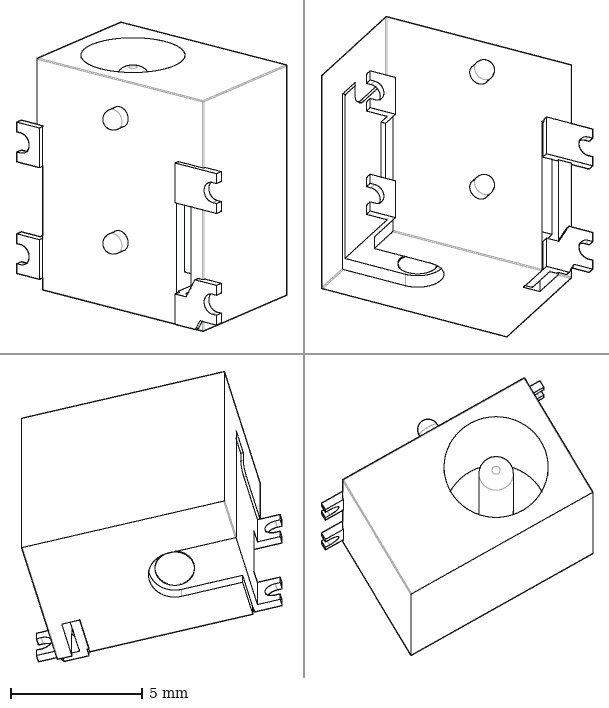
import cadquery as cq


body_width = 8.01
body_depth = 5.2
body_height = 9.3
half_width = body_width / 2
edge_radius = 0.04

socket_offset_from_left = 2.7
socket_x = socket_offset_from_left - half_width
socket_y = 2.51
socket_radius = 1.98
socket_floor_z = 2.0
pin_radius = 0.65
pin_tip_round = 0.5
pin_tip_depth = 0.48
pin_tip_z = body_height - pin_tip_depth

peg_radius = 0.4
peg_length = 0.8
peg_heights = (2.8, 7.8)

tab_reach = 0.8
tab_height = 1.6
tab_thickness = 0.3
tab_embed = 0.1
tab_outer_x = half_width + tab_reach
lower_tab_z = 0.5
upper_tab_z = 5.0
tab_notch_radius = 0.4
tab_notch_depth = 0.6

recess_depth = 0.3
recess_back_y = 3.5
recess_step_y = socket_y
recess_top_z = 7.64
recess_corner_radius = 0.45
plate_clearance = 0.03
recess_step_z = upper_tab_z + tab_height + plate_clearance
plate_thickness = 0.2
plate_bottom_z = lower_tab_z
plate_notch_depth = 0.6
left_inner_x = -half_width + recess_depth

tail_slot_radius = recess_back_y - socket_y
tail_slot_height = 0.5
tail_radius = 0.75
tail_drop = 0.06

channel_left_x = half_width - 1.29
channel_right_x = half_width - 0.59
channel_depth = 0.5
channel_top_z = 6.51
channel_pocket_depth = 1.5
channel_pocket_top_z = 2.0
right_tab_inner_x = half_width - 1.2
foot_top_z = 1.32
foot_bottom_z = 0.1
foot_top_slope_x = (half_width - 0.67, half_width - 0.24)
foot_bottom_slope_x = (half_width - 0.22, half_width)


def block(x_start, x_end, y_start, y_end, z_start, z_end):
    """Box given by its limits along each axis."""
    size = (x_end - x_start, y_end - y_start, z_end - z_start)
    return cq.Workplane("XY").box(*size, centered=False).translate((x_start, y_start, z_start))


def make_housing():
    """Block with every edge softened except those around the back face."""
    housing = block(-half_width, half_width, 0, body_depth, 0, body_height)
    return housing.edges("not(>Y)").fillet(edge_radius)


def make_plate(x_start, length, z_bottom, clearance):
    """Stepped plate parallel to the YZ plane, reaching the given length along +X from x_start."""
    top_z = recess_top_z - clearance
    step_z = recess_step_z - clearance
    profile = (
        cq.Workplane("YZ", origin=(x_start, 0, 0))
        .moveTo(0, z_bottom)
        .lineTo(recess_back_y, z_bottom)
        .lineTo(recess_back_y, top_z)
        .lineTo(recess_step_y, top_z)
        .lineTo(recess_step_y, step_z + recess_corner_radius)
        .radiusArc((recess_step_y - recess_corner_radius, step_z), recess_corner_radius)
        .lineTo(0, step_z)
        .close()
    )
    return profile.extrude(length)


def make_tail_slot():
    """Slot in the underside, open to the left and rounded around the socket axis."""
    straight = block(
        -half_width, socket_x,
        socket_y - tail_slot_radius, socket_y + tail_slot_radius,
        0, tail_slot_height,
    )
    end = cq.Workplane("XY").center(socket_x, socket_y).circle(tail_slot_radius).extrude(tail_slot_height)
    return straight.union(end)


def make_pin():
    """Centre pin with a rounded tip, widening to a short tail under the socket floor."""
    pin = (
        cq.Workplane("XY", origin=(socket_x, socket_y, tail_slot_height))
        .circle(pin_radius)
        .extrude(pin_tip_z - tail_slot_height)
        .faces(">Z").edges().fillet(pin_tip_round)
    )
    tail = (
        cq.Workplane("XY", origin=(socket_x, socket_y, tail_slot_height - tail_drop))
        .circle(tail_radius)
        .extrude(2 * tail_drop)
    )
    return pin.union(tail)


def make_socket():
    """Blind round hole entered from the top face."""
    socket = cq.Workplane("XY", origin=(socket_x, socket_y, socket_floor_z)).circle(socket_radius)
    return socket.extrude(body_height - socket_floor_z)


def make_channel():
    """Channel along the right of the mounting face, deepened into a pocket at its lower end."""
    channel = block(channel_left_x, channel_right_x, 0, channel_depth, 0, channel_top_z)
    pocket = block(channel_left_x, channel_right_x, 0, channel_pocket_depth, 0, channel_pocket_top_z)
    return channel.union(pocket)


def make_peg(z):
    """Peg pointing along -Y with a hemispherical end."""
    shank_length = peg_length - peg_radius
    shank = cq.Workplane("XZ", origin=(0, 0, z)).circle(peg_radius).extrude(shank_length)
    dome = cq.Workplane("XY").sphere(peg_radius).translate((0, -shank_length, z))
    return shank.union(dome)


def make_tab(x_inner, x_outer, z_bottom):
    """Rectangular solder tab lying on the mounting face."""
    x_start, x_end = sorted((x_inner, x_outer))
    return block(x_start, x_end, tab_embed - tab_thickness, tab_embed, z_bottom, z_bottom + tab_height)


def make_tab_notch(side, z_bottom):
    """Round-bottomed notch cut into a tab's outer end; side is -1 for left, +1 for right."""
    centre_x = side * (tab_outer_x - tab_notch_depth + tab_notch_radius)
    centre_z = z_bottom + tab_height / 2
    x_start, x_end = sorted((centre_x, side * tab_outer_x))
    round_end = (
        cq.Workplane("XZ", origin=(centre_x, tab_embed, centre_z))
        .circle(tab_notch_radius)
        .extrude(tab_thickness)
    )
    mouth = block(
        x_start, x_end, tab_embed - tab_thickness, tab_embed,
        centre_z - tab_notch_radius, centre_z + tab_notch_radius,
    )
    return round_end.union(mouth)


def make_left_contact():
    """Stepped plate with a clearance notch between its two solder tabs."""
    plate_x = left_inner_x - plate_thickness
    plate = make_plate(plate_x, plate_thickness, plate_bottom_z, plate_clearance)
    notch = block(
        plate_x, left_inner_x, 0, plate_notch_depth,
        lower_tab_z + tab_height, upper_tab_z,
    )
    contact = plate.cut(notch)
    for z in (lower_tab_z, upper_tab_z):
        contact = contact.union(make_tab(left_inner_x, -tab_outer_x, z))
    return contact


def make_right_foot():
    """Lower right tab stepping down to a foot, with a leg bent into the channel pocket."""
    foot = (
        cq.Workplane("XZ", origin=(0, tab_embed, 0))
        .polyline([
            (tab_outer_x, lower_tab_z),
            (tab_outer_x, lower_tab_z + tab_height),
            (foot_top_slope_x[1], lower_tab_z + tab_height),
            (foot_top_slope_x[0], foot_top_z),
            (right_tab_inner_x, foot_top_z),
            (right_tab_inner_x, foot_bottom_z),
            (foot_bottom_slope_x[0], foot_bottom_z),
            (foot_bottom_slope_x[1], lower_tab_z),
        ])
        .close()
        .extrude(tab_thickness)
    )
    leg = block(
        channel_left_x, right_tab_inner_x + tab_thickness, tab_embed, channel_pocket_depth,
        foot_bottom_z, foot_top_z,
    )
    return foot.union(leg)


result = make_housing()
result = result.cut(make_socket())
result = result.cut(make_plate(-half_width, recess_depth, 0, 0))
result = result.cut(make_tail_slot())
result = result.cut(make_channel())

result = result.union(make_pin())
for peg_z in peg_heights:
    result = result.union(make_peg(peg_z))
result = result.union(make_left_contact())
result = result.union(make_tab(right_tab_inner_x, tab_outer_x, upper_tab_z))
result = result.union(make_right_foot())
for side in (-1, 1):
    for tab_z in (lower_tab_z, upper_tab_z):
        result = result.cut(make_tab_notch(side, tab_z))